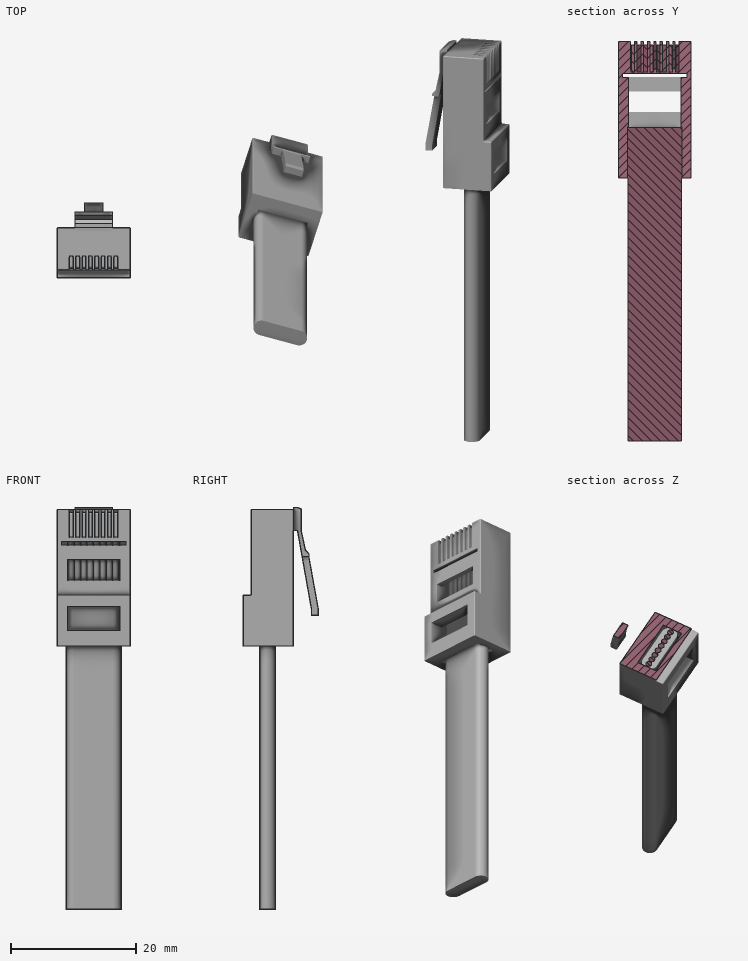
import cadquery as cq


housing_width = 11.65
housing_bottom_z = 41.95
housing_top_z = 63.7
step_z = 50.1
upper_front_y = -6.7
lower_front_y = -8.0
edge_radius = 0.16

cable_width = 8.85
cable_thickness = 2.55
cable_center_y = -4.1
jacket_top_z = step_z
wire_count = 8
wire_pitch = 1.01
wire_diameter = 1.005
wire_offset = -0.03

cavity_width = 8.3
cavity_thickness = 3.25
cavity_top_z = 58.6
cavity_front_y = cable_center_y - cavity_thickness / 2
cross_slot_width = 10.25
wire_window_bottom_z = 52.45
wire_window_top_z = 55.7
cable_window_bottom_z = 44.45
cable_window_top_z = 48.2
cross_slot_height = 0.6
cross_slot_floor_y = cable_center_y

slot_width = 0.67
slot_back_y = -4.5
slot_bottom_z = 59.3
contact_width = 0.5
contact_back_y = -3.9
contact_front_y = -6.5
contact_bottom_z = 58.9
contact_top_z = 63.2
contact_radius = 0.3

latch_width = 6.0
latch_tail_width = 3.0
latch_tip_z = 46.8
latch_step_z = 56.2
latch_top_z = 64.05
latch_root_z = 60.3
latch_root_y = 1.3
latch_tip_y = 4.0
latch_bevel_height = 0.25

wire_positions = [wire_offset + (i - (wire_count - 1) / 2) * wire_pitch for i in range(wire_count)]


def box_between(width, y_start, y_end, z_start, z_end):
    """Box centred on X = 0 that spans the given Y and Z ranges."""
    return (
        cq.Workplane("XY")
        .box(width, y_end - y_start, z_end - z_start, centered=(True, False, False))
        .translate((0, y_start, z_start))
    )


def make_contact(x):
    """Flat blade with a rounded top front corner."""
    blade = box_between(contact_width, contact_front_y, contact_back_y, contact_bottom_z, contact_top_z)
    return blade.edges(">Z and <Y").fillet(contact_radius).translate((x, 0, 0))


def make_cable():
    """Flat jacket with round sides, and the bare wires that stick out of its top."""
    jacket = (
        cq.Workplane("XY")
        .center(0, cable_center_y)
        .slot2D(cable_width, cable_thickness)
        .extrude(jacket_top_z)
    )
    wires = (
        cq.Workplane("XY", origin=(0, cable_center_y, jacket_top_z))
        .pushPoints([(x, 0) for x in wire_positions])
        .circle(wire_diameter / 2)
        .extrude(cavity_top_z - jacket_top_z)
    )
    return jacket.union(wires)


def make_block():
    """Stepped outer block, rounded everywhere except at its bottom."""
    upper = box_between(housing_width, upper_front_y, 0, housing_bottom_z, housing_top_z)
    foot = box_between(housing_width, lower_front_y, 0, housing_bottom_z, step_z)
    block = upper.union(foot)
    return block.edges("not <Z").fillet(edge_radius)


def make_latch():
    """Sprung latch: a wide root on the housing back and a narrower tail that leans outwards."""
    side_profile = [
        (0, latch_root_z),
        (0, latch_top_z),
        (0.65, latch_top_z),
        (latch_root_y, latch_top_z - latch_bevel_height),
        (latch_root_y, 60.2),
        (1.9, 57.25),
        (2.5, 56.6),
        (2.5, 56.05),
        (latch_tip_y, 47.9),
        (latch_tip_y, latch_tip_z),
        (2.9, latch_tip_z),
        (2.9, 47.7),
        (0.65, latch_root_z),
    ]
    latch = (
        cq.Workplane("YZ")
        .polyline(side_profile)
        .close()
        .extrude(latch_width / 2, both=True)
    )
    side_width = (latch_width - latch_tail_width) / 2
    for side in (-1, 1):
        side_cut = box_between(side_width, 0, latch_tip_y, latch_tip_z, latch_step_z)
        latch = latch.cut(side_cut.translate((side * (latch_width - side_width) / 2, 0, 0)))
    return latch


def make_contact_slot(x):
    """Slot open to the front and the top, with a round back."""
    radius = slot_width / 2
    round_center_y = slot_back_y - radius
    return (
        cq.Workplane("XY", origin=(x, 0, slot_bottom_z))
        .moveTo(-radius, lower_front_y)
        .lineTo(-radius, round_center_y)
        .threePointArc((0, slot_back_y), (radius, round_center_y))
        .lineTo(radius, lower_front_y)
        .close()
        .extrude(latch_top_z - slot_bottom_z)
    )


def make_housing(cable, contacts):
    """Block and latch in one piece, hollowed for the cable and the contacts."""
    housing = make_block().union(make_latch())

    cavity_back_y = cavity_front_y + cavity_thickness
    housing = housing.cut(
        box_between(cavity_width, cavity_front_y, cavity_back_y, housing_bottom_z, cavity_top_z)
    )

    openings = [
        (cavity_width, cavity_front_y, cable_window_bottom_z, cable_window_top_z),
        (cavity_width, cavity_front_y, wire_window_bottom_z, wire_window_top_z),
        (cross_slot_width, cross_slot_floor_y, cavity_top_z - cross_slot_height, cavity_top_z),
    ]
    for width, floor_y, bottom_z, top_z in openings:
        housing = housing.cut(box_between(width, lower_front_y, floor_y, bottom_z, top_z))

    housing = housing.cut(cable)

    for x, contact in zip(wire_positions, contacts):
        housing = housing.cut(make_contact_slot(x)).cut(contact)
    return housing


contacts = [make_contact(x) for x in wire_positions]
cable = make_cable()
housing = make_housing(cable, contacts)

result = cq.Compound.makeCompound(
    [housing.val(), cable.val(), *[contact.val() for contact in contacts]]
)